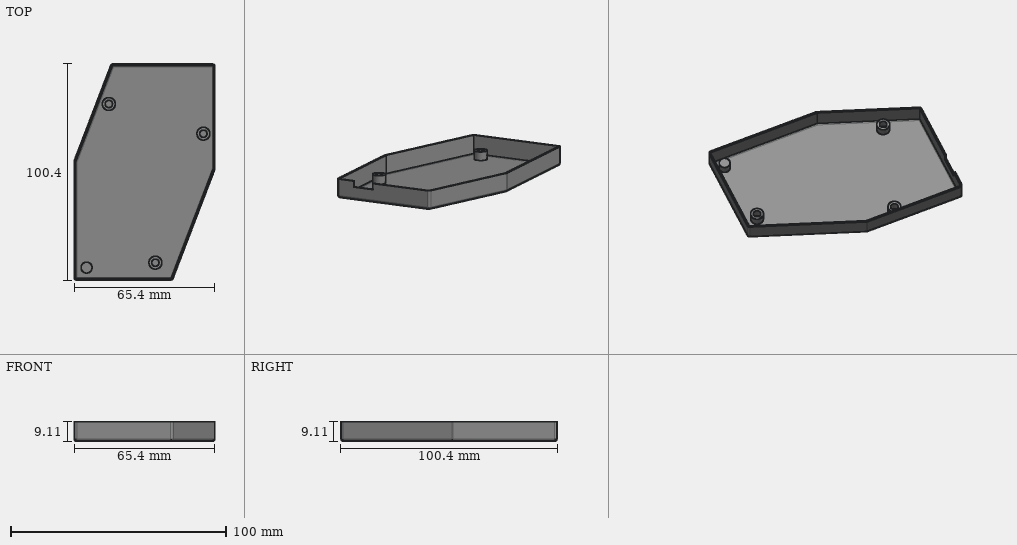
import cadquery as cq

LENGTH_X = 65.44
LENGTH_Y = 100.36
HEIGHT = 9.11

WALL = 0.8
FLOOR = 0.3
CORNER_RADIUS = 1.3
BOTTOM_RADIUS = 1.3

LEFT_CORNER_Y = 5.0
RIGHT_CORNER_Y = 1.4
TOP_CORNER_X = -15.4
BOTTOM_CORNER_X = 12.95

PILLAR_TOP = 4.4
BOSS_DIAMETER = 6.0
BOSS_HOLE_DIAMETER = 3.4
BOSS_CENTRES = [(-16.55, 31.6), (27.35, 17.8), (5.05, -42.1)]
POST_DIAMETER = 5.1
POST_CENTRE = (-26.9, -44.4)

NOTCH_WIDTH = 10.0
NOTCH_DEPTH = 2.9
NOTCH_CENTRE_X = 19.0


def outline():
    """Six-sided plan outline of the case, centred on the origin."""
    half_x = LENGTH_X / 2
    half_y = LENGTH_Y / 2
    return cq.Workplane("XY").polyline([
        (-half_x, -half_y),
        (BOTTOM_CORNER_X, -half_y),
        (half_x, RIGHT_CORNER_Y),
        (half_x, half_y),
        (TOP_CORNER_X, half_y),
        (-half_x, LEFT_CORNER_Y),
    ]).close()


def tray():
    """Open-topped shell, rounded outside and sharp-cornered inside."""
    body = outline().extrude(HEIGHT)
    body = body.edges("|Z").fillet(CORNER_RADIUS)
    body = body.faces("<Z").edges().fillet(BOTTOM_RADIUS)
    cavity = outline().offset2D(-WALL).extrude(HEIGHT - FLOOR)
    return body.cut(cavity.translate((0, 0, FLOOR)))


def pillars(centres, diameter):
    """Round pillars rising from the floor to the common pillar height."""
    floor_plane = cq.Workplane("XY").workplane(offset=FLOOR)
    return floor_plane.pushPoints(centres).circle(diameter / 2).extrude(PILLAR_TOP - FLOOR)


def notch():
    """Rectangular cut through the rim of the +Y wall."""
    bottom_z = HEIGHT - NOTCH_DEPTH
    return cq.Workplane("XY").box(
        NOTCH_WIDTH, WALL, NOTCH_DEPTH, centered=(True, False, False)
    ).translate((NOTCH_CENTRE_X, LENGTH_Y / 2 - WALL, bottom_z))


bosses = pillars(BOSS_CENTRES, BOSS_DIAMETER)
boss_holes = pillars(BOSS_CENTRES, BOSS_HOLE_DIAMETER)
post = pillars([POST_CENTRE], POST_DIAMETER)

result = tray().union(bosses).union(post).cut(boss_holes).cut(notch())